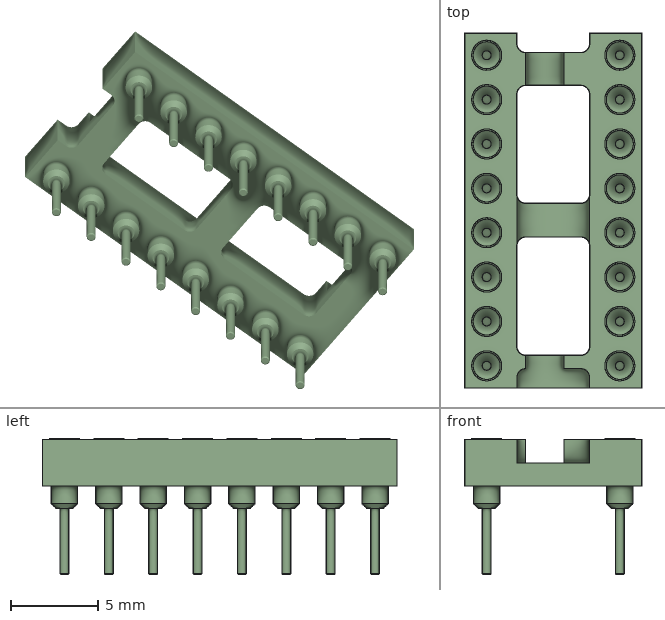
import cadquery as cq

pin_count = 8
pitch = 2.54
row_spacing = 7.62
body_width = row_spacing + pitch
body_length = pin_count * pitch
total_height = 7.79
body_height = 2.67

opening_width = 4.16
opening_radius = 0.5
rear_opening_back = 7.16
front_opening_front = -8.28
bar_back = 0.42
bar_front = -1.52
bar_height = 1.32
bar_radius = 0.5

end_notch_depth = 1.11
step_height = 1.32
key_slot_left = opening_radius - opening_width / 2
key_slot_right = 0.61

head_diameter = 1.72
sleeve_diameter = 1.52
sleeve_length = 1.0
shoulder_height = 0.28
shoulder_diameter = sleeve_diameter - 2 * shoulder_height
lead_diameter = 0.51
lead_chamfer = 0.06
funnel_diameter = 1.55
funnel_depth = 0.65
head_rim = 0.05

body_top = total_height - head_rim
body_bottom = body_top - body_height
funnel_floor = total_height - funnel_depth
step_level = body_bottom + step_height
bar_level = body_bottom + bar_height
shoulder_top = body_bottom - sleeve_length
shoulder_bottom = shoulder_top - shoulder_height


def block(left, right, front, back, bottom, top):
    """Box given by its six limits."""
    size = (right - left, back - front, top - bottom)
    return cq.Workplane("XY").box(*size, centered=False).translate((left, front, bottom))


def central_block(front, back, bottom, top):
    """Box as wide as the opening, centred between the pin rows."""
    return block(-opening_width / 2, opening_width / 2, front, back, bottom, top)


def make_body():
    """Frame with a long window, a low crossbar and recessed ends."""
    back_end = body_length / 2
    front_end = -back_end
    body = block(-body_width / 2, body_width / 2, front_end, back_end, body_bottom, body_top)

    window = central_block(front_opening_front, rear_opening_back, body_bottom, body_top)
    body = body.cut(window.edges("|Z").fillet(opening_radius))

    back_notch = central_block(back_end - end_notch_depth, back_end, body_bottom, body_top)
    body = body.cut(back_notch.edges("|Z and <Y").fillet(opening_radius))

    front_notch = central_block(front_end, front_end + end_notch_depth, step_level, body_top)
    body = body.cut(front_notch.edges("|Z and >Y").fillet(opening_radius))

    key_slot = block(key_slot_left, key_slot_right, front_end, back_end, step_level, body_top)
    body = body.cut(key_slot)
    return body.union(make_crossbar())


def make_crossbar():
    """Low bar across the window, flared by concave rounds where it meets the rows."""
    bar = central_block(bar_front - bar_radius, bar_back + bar_radius, body_bottom, bar_level)
    rear_relief = central_block(bar_back, rear_opening_back, body_bottom, bar_level)
    front_relief = central_block(front_opening_front, bar_front, body_bottom, bar_level)
    bar = bar.cut(rear_relief.edges("|Z and <Y").fillet(bar_radius))
    return bar.cut(front_relief.edges("|Z and >Y").fillet(bar_radius))


def make_pin():
    """Turned pin on the Z axis, from the tip up: lead, shoulder cone, sleeve and head with a funnel inlet."""
    lead_radius = lead_diameter / 2
    sleeve_radius = sleeve_diameter / 2
    profile = (
        cq.Workplane("XZ")
        .lineTo(lead_radius - lead_chamfer, 0)
        .lineTo(lead_radius, lead_chamfer)
        .lineTo(lead_radius, shoulder_bottom)
        .lineTo(shoulder_diameter / 2, shoulder_bottom)
        .lineTo(sleeve_radius, shoulder_top)
        .lineTo(sleeve_radius, body_bottom)
        .lineTo(head_diameter / 2, body_bottom)
        .lineTo(head_diameter / 2, total_height)
        .lineTo(funnel_diameter / 2, total_height)
        .lineTo(lead_radius, funnel_floor)
        .lineTo(0, funnel_floor)
        .close()
    )
    return profile.revolve(360, (0, 0, 0), (0, 1, 0))


def make_socket():
    """Body with a bored seat and a pin at every contact position."""
    pin = make_pin()
    seat = cq.Workplane("XY").workplane(offset=body_bottom).circle(head_diameter / 2).extrude(body_height)
    contacts = cq.Workplane("XY").rarray(row_spacing, pitch, 2, pin_count)
    seats = contacts.eachpoint(lambda place: seat.val().moved(place), combine=False)
    pins = contacts.eachpoint(lambda place: pin.val().moved(place), combine=False)
    return make_body().cut(seats).union(pins)


result = make_socket()